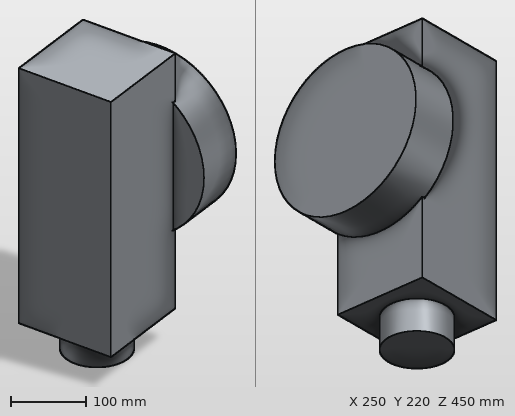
import cadquery as cq

total_height = 450.0
block_width = 150.0
block_height = 400.0
disc_diameter = 250.0
disc_thickness = 75.0
disc_inset = 5.0
disc_top_gap = 50.0
stub_diameter = 100.0

stub_length = total_height - block_height
disc_front_y = block_width / 2 - disc_inset
disc_center_z = total_height - disc_top_gap - disc_diameter / 2


def make_disc():
    """Round disc with its axis along Y, at the back of the block."""
    return (
        cq.Workplane("XZ", origin=(0, disc_front_y, disc_center_z))
        .circle(disc_diameter / 2)
        .extrude(-disc_thickness)
    )


def make_block(disc):
    """Upright square block with a shallow recess that seats the disc."""
    block = (
        cq.Workplane("XY", origin=(0, 0, stub_length))
        .rect(block_width, block_width)
        .extrude(block_height)
    )
    return block.cut(disc)


def make_stub():
    """Round stub that meets the underside of the block."""
    return cq.Workplane("XY").circle(stub_diameter / 2).extrude(stub_length)


disc = make_disc()
block = make_block(disc)
stub = make_stub()

result = cq.Compound.makeCompound([block.val(), disc.val(), stub.val()])